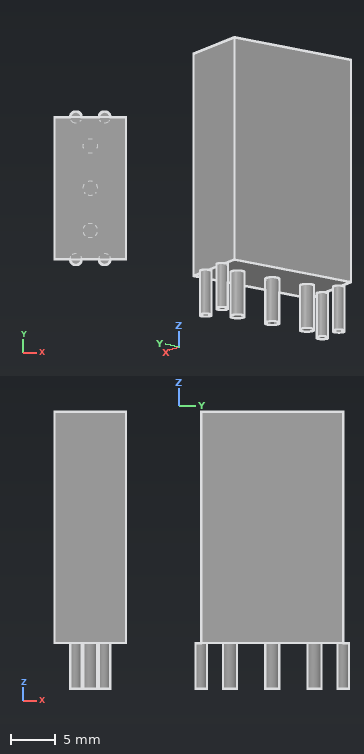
import cadquery as cq

housing_width = 8.0
housing_depth = 15.8
housing_height = 25.76

pin_length = 5.1

corner_pin_diameter = 1.3
corner_pin_spacing = 3.2
corner_pin_y = housing_depth / 2

row_pin_diameter = 1.6
row_pin_pitch = 4.7


def make_housing():
    return cq.Workplane("XY").box(
        housing_width, housing_depth, housing_height, centered=(True, True, False)
    )


def make_pin(diameter, x, y):
    return cq.Workplane("XY").center(x, y).circle(diameter / 2).extrude(-pin_length)


housing = make_housing()

corner_pins = []
for x_side in (-1, 1):
    for y_side in (-1, 1):
        corner_pin = make_pin(
            corner_pin_diameter, x_side * corner_pin_spacing / 2, y_side * corner_pin_y
        )
        corner_pins.append(corner_pin.val())

row_pins = []
for row_step in (-1, 0, 1):
    row_pin = make_pin(row_pin_diameter, 0, row_step * row_pin_pitch)
    row_pins.append(row_pin.val())

result = cq.Compound.makeCompound([housing.val(), *corner_pins, *row_pins])